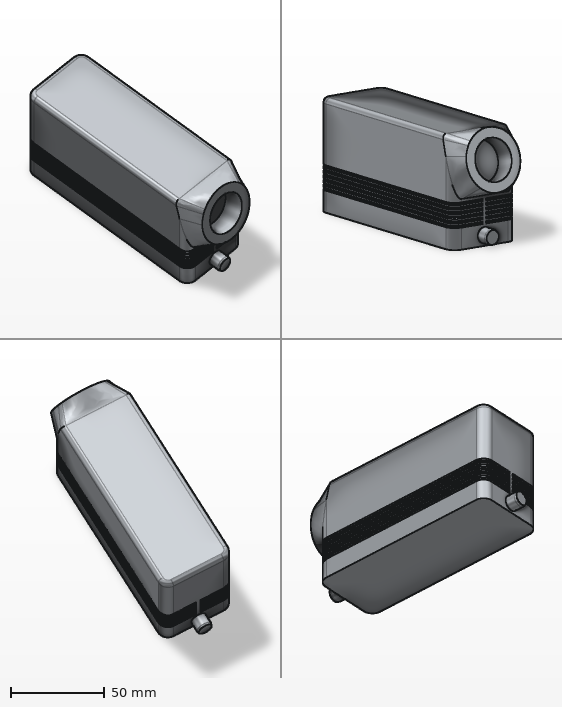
import cadquery as cq
import math

body_length = 120.2
body_width = 43.0
body_height = 63.0
corner_radius = 6.0
rim_radius = 3.0

groove_count = 6
groove_pitch = 2.5
groove_depth = 0.7
lowest_groove_z = 12.9
groove_gap = 2.7

peg_span = 135.0
peg_diameter = 9.0
peg_z = 6.0
peg_tip_length = 1.4
peg_tip_taper = 0.4

outlet_tilt = 14.5
root_low_z = 28.0
mouth_diameter = 35.7
mouth_low_x = 72.5
mouth_low_z = 31.7
bore_diameter = 24.1
bore_depth = 12.6

tilt = math.radians(outlet_tilt)
outlet_axis = cq.Vector(math.cos(tilt), 0, math.sin(tilt))
outlet_down = cq.Vector(math.sin(tilt), 0, -math.cos(tilt))


def rounded_block(bottom, height):
    """Upright block with the body's outline and rounded vertical edges."""
    block = cq.Workplane("XY").workplane(offset=bottom).rect(body_length, body_width).extrude(height)
    return block.edges("|Z").fillet(corner_radius)


def make_body():
    """Rounded block with its upper +X end cut off square to the outlet axis."""
    body = rounded_block(0, body_height).faces(">Z").edges().fillet(rim_radius)
    root_low = cq.Vector(body_length / 2, 0, root_low_z)
    root_plane = cq.Plane(root_low, xDir=outlet_down, normal=outlet_axis)
    waste = cq.Workplane(root_plane).rect(2 * body_height, 2 * body_width).extrude(body_height)
    waste = waste.intersect(rounded_block(root_low_z, body_height))
    return body.cut(waste)


def make_outlet(body):
    """Loft from the slanted cut face of the body to the round outlet mouth."""
    root_face = body.faces(cq.selectors.ParallelDirSelector(outlet_axis)).val()
    mouth_low = cq.Vector(mouth_low_x, 0, mouth_low_z)
    mouth_centre = mouth_low - outlet_down * (mouth_diameter / 2)
    mouth = cq.Plane(mouth_centre, xDir=outlet_down, normal=outlet_axis)
    rim = cq.Workplane(mouth).circle(mouth_diameter / 2).wires().val()
    outlet = cq.Workplane(cq.Solid.makeLoft([root_face.outerWire(), rim]))
    bore = cq.Workplane(mouth).circle(bore_diameter / 2).extrude(-bore_depth)
    return outlet, bore


def make_grooves():
    """Stacked V-shaped grooves, interrupted by a plain strip on each end face."""
    outline = rounded_block(0, body_height).faces("<Z").wires().val()
    profile = cq.Workplane("YZ", origin=(0, -body_width / 2, 0)).polygon(4, 2 * groove_depth)
    ring = profile.sweep(cq.Workplane(outline))
    ring = ring.cut(cq.Workplane("XY").box(2 * body_length, groove_gap, 4 * groove_depth))
    grooves = cq.Workplane("XY")
    for index in range(groove_count):
        grooves.add(ring.translate((0, 0, lowest_groove_z + index * groove_pitch)))
    return grooves.combine()


def make_pegs():
    """Peg at each end, made as one rod through the body with tapered tips."""
    rod = cq.Workplane("YZ").center(0, peg_z).circle(peg_diameter / 2)
    rod = rod.extrude(peg_span / 2, both=True)
    return rod.faces("<X or >X").edges().chamfer(peg_tip_length, peg_tip_taper)


body = make_body()
outlet, bore = make_outlet(body)
result = body.union(outlet).cut(bore).cut(make_grooves()).union(make_pegs())